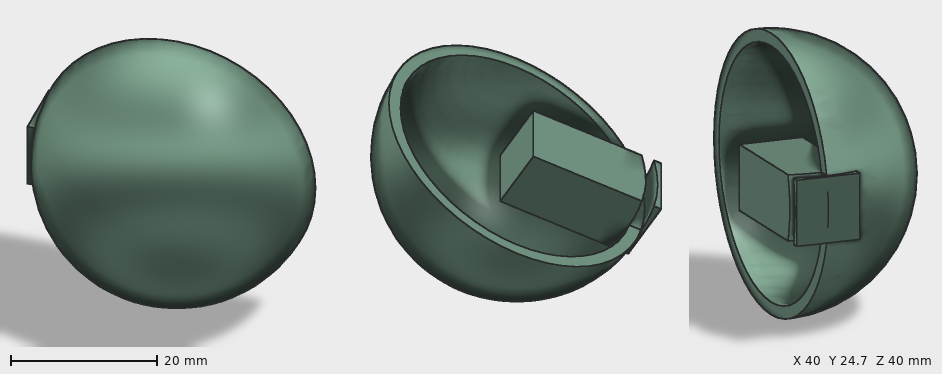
import cadquery as cq

outer_radius = 20.0
wall_thickness = 1.8
bar_side = 9.4

inner_radius = outer_radius - wall_thickness
bar_length = outer_radius
cutter_size = 2 * outer_radius


def spherical_wall():
    """Complete hollow sphere centred on the origin."""
    return cq.Workplane("XY").sphere(outer_radius).cut(cq.Workplane("XY").sphere(inner_radius))


def half_space(side):
    """Block that fills the +Y (side = 1) or -Y (side = -1) half of the sphere."""
    return (
        cq.Workplane("XY")
        .box(cutter_size, cutter_size, cutter_size)
        .translate((0, side * cutter_size / 2, 0))
    )


def square_bar():
    """Plain bar centred on the X axis, before it is slotted."""
    return (
        cq.Workplane("XY")
        .box(bar_length, bar_side, bar_side)
        .translate((-bar_length / 2, 0, 0))
    )


def make_shell():
    """Hollow hemisphere on the -Y side, with a window that the bar passes through."""
    return spherical_wall().intersect(half_space(-1)).cut(square_bar())


def make_bar():
    """Square bar with a curved slot on its +Y half, shaped to take a mating hemisphere wall."""
    mating_wall = spherical_wall().intersect(half_space(1))
    return square_bar().cut(mating_wall)


shell = make_shell()
bar = make_bar()

result = cq.Compound.makeCompound([shell.solids().val(), bar.solids().val()])